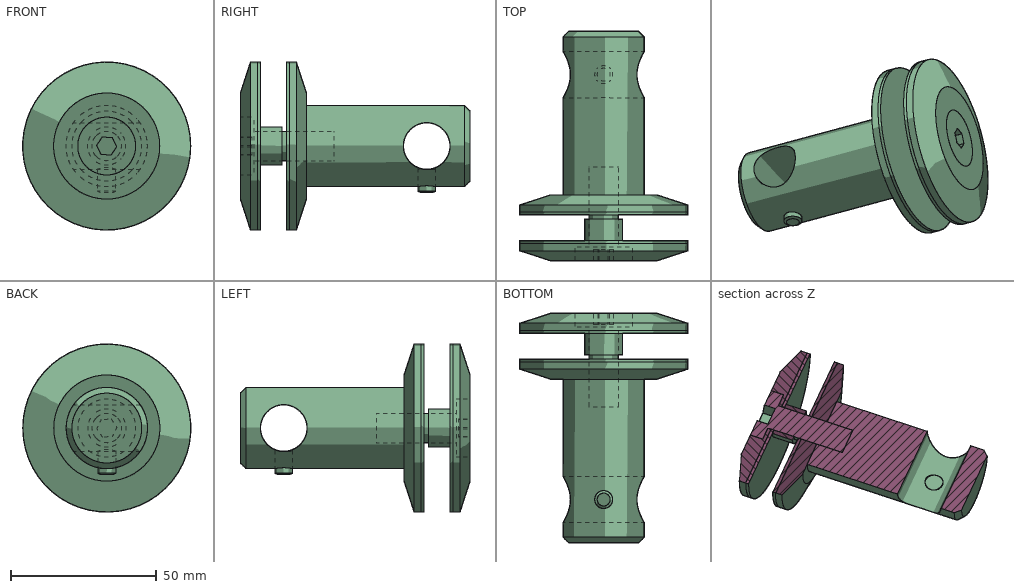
import cadquery as cq
import math

disc_diameter = 58.0
disc_flat_diameter = 36.6
disc_taper = 3.5
disc_thickness = 5.95
gasket_thickness = 1.0
clamp_gap = 8.9

overall_length = 79.25
post_diameter = 28.05
post_chamfer = 2.0
bore_diameter = 16.0
bore_end_distance = 15.0

head_diameter = 20.0
head_thickness = 4.75
shank_diameter = 10.15
shank_depth_in_post = 9.5
socket_across_flats = 6.0
socket_depth = 4.0
socket_turn = -4.0
sleeve_diameter = 13.15
sleeve_length = 7.45

set_screw_diameter = 6.2
set_screw_protrusion = 2.0
set_screw_tip_diameter = 4.4
set_screw_tip_height = 0.5

front_gasket_y = disc_thickness
sleeve_y = front_gasket_y + gasket_thickness
rear_gasket_y = sleeve_y + clamp_gap
rear_disc_y = rear_gasket_y + gasket_thickness
post_y = rear_disc_y + disc_thickness
bore_y = overall_length - bore_end_distance
shank_end_y = post_y + shank_depth_in_post

set_screw_top_z = -bore_diameter / 2
set_screw_bottom_z = -post_diameter / 2 - set_screw_protrusion


def cylinder_y(diameter, start, length):
    """Cylinder on the Y axis, running from start toward +Y."""
    plane = cq.Plane(origin=(0, start, 0), xDir=(1, 0, 0), normal=(0, 1, 0))
    return cq.Workplane(plane).circle(diameter / 2).extrude(length)


def cylinder_z(diameter, start, length):
    """Upright cylinder centred under the cross bore."""
    return cq.Workplane("XY", origin=(0, bore_y, start)).circle(diameter / 2).extrude(length)


def make_disc(inner_y, outward):
    """Tapered disc; outward (+1 or -1) is the Y direction of its tapered face."""
    rim_y = inner_y + outward * (disc_thickness - disc_taper)
    outer_y = inner_y + outward * disc_thickness
    profile = [
        (0, inner_y),
        (disc_diameter / 2, inner_y),
        (disc_diameter / 2, rim_y),
        (disc_flat_diameter / 2, outer_y),
        (0, outer_y),
    ]
    disc = cq.Workplane("XY").polyline(profile).close().revolve(360, (0, 0, 0), (0, 1, 0))
    return disc.cut(shank)


def make_gasket(start):
    return cylinder_y(disc_diameter, start, gasket_thickness).cut(shank)


def make_clamp_screw():
    """Flush-headed screw with a hexagon socket."""
    head = cylinder_y(head_diameter, 0, head_thickness)
    socket_diameter = socket_across_flats / math.cos(math.pi / 6)
    socket = (
        cq.Workplane("XZ")
        .transformed(rotate=(0, 0, socket_turn))
        .polygon(6, socket_diameter)
        .extrude(-socket_depth)
    )
    return head.union(shank).cut(socket)


def make_set_screw():
    """Set screw with a tapered lower end."""
    body_bottom_z = set_screw_bottom_z + set_screw_tip_height
    body = cylinder_z(set_screw_diameter, body_bottom_z, set_screw_top_z - body_bottom_z)
    tip = (
        cq.Workplane("XY", origin=(0, bore_y, set_screw_bottom_z))
        .circle(set_screw_tip_diameter / 2)
        .workplane(offset=set_screw_tip_height)
        .circle(set_screw_diameter / 2)
        .loft()
    )
    return body.union(tip)


def make_post():
    """Chamfered post with a cross bore, a set screw hole and a blind shank hole."""
    body = cylinder_y(post_diameter, post_y, overall_length - post_y)
    body = body.faces(">Y").chamfer(post_chamfer)
    bore = (
        cq.Workplane("YZ")
        .center(bore_y, 0)
        .circle(bore_diameter / 2)
        .extrude(post_diameter / 2, both=True)
    )
    set_screw_hole = cylinder_z(set_screw_diameter, set_screw_bottom_z, -set_screw_bottom_z)
    return body.cut(bore).cut(set_screw_hole).cut(shank)


shank = cylinder_y(shank_diameter, head_thickness, shank_end_y - head_thickness)

clamp_screw = make_clamp_screw()
front_disc = make_disc(front_gasket_y, -1).cut(cylinder_y(head_diameter, 0, head_thickness))
rear_disc = make_disc(rear_disc_y, 1)
gaskets = [make_gasket(start) for start in (front_gasket_y, rear_gasket_y)]
sleeve = cylinder_y(sleeve_diameter, sleeve_y, sleeve_length).cut(shank)
post = make_post()
set_screw = make_set_screw()

result = cq.Compound.makeCompound([
    clamp_screw.val(),
    front_disc.val(),
    rear_disc.val(),
    *[gasket.val() for gasket in gaskets],
    sleeve.val(),
    post.val(),
    set_screw.val(),
])